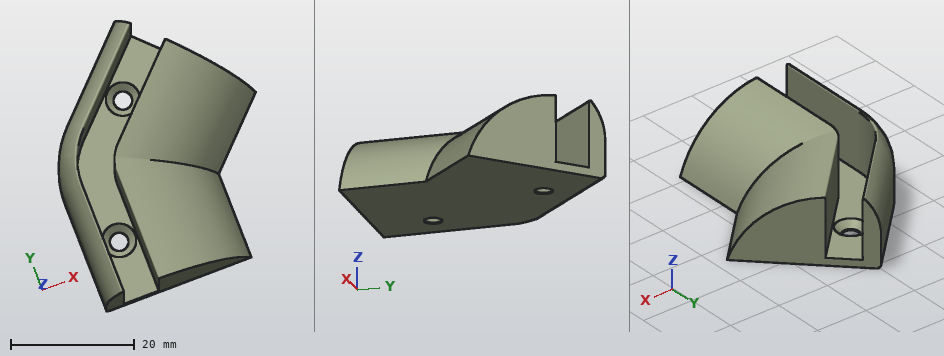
import cadquery as cq
import math

width = 25.0
inner_leg_length = 14.65
half_bend = 22.5
outer_bend_radius = 15.0

outer_wall = 3.0
slot_width = 6.0
floor_thickness = 1.5
shoulder_height = 6.55
shoulder_radius = 9.0
crown_x = 7.5
crown_height = 12.9
base_chamfer = 0.5
lip_radius = 0.25

hole_diameter = 3.0
countersink_diameter = 5.5
countersink_angle = 90
hole_from_end = 10.0

slot_middle = outer_wall + slot_width / 2
outer_leg_length = inner_leg_length + width * math.tan(math.radians(half_bend))
bend_start = outer_leg_length - outer_bend_radius * math.tan(math.radians(half_bend))
clear_height = 2 * crown_height


def shoulder_z(x):
    """Height of the convex outer shoulder at x."""
    return shoulder_height + math.sqrt(shoulder_radius**2 - (shoulder_radius - x) ** 2)


def crown_z(x):
    """Height of the large curve, an arc level at the crown and ending at the base edge."""
    reach = width - crown_x
    radius = (reach**2 + crown_height**2) / (2 * crown_height)
    return crown_height - radius + math.sqrt(radius**2 - (x - crown_x) ** 2)


def section(y=0):
    return cq.Workplane("XZ", origin=(0, y, 0))


def follow_bend(draw_profile):
    """Carry a profile along the straight leg and round the bend to the mitre."""
    straight = draw_profile(section()).extrude(-bend_start)
    bend = draw_profile(section(bend_start)).revolve(
        half_bend, (outer_bend_radius, 0), (outer_bend_radius, -1)
    )
    return straight.union(bend)


def outer_profile(plane):
    return (
        plane.moveTo(0, 0)
        .lineTo(0, shoulder_height)
        .threePointArc(
            (outer_wall / 3, shoulder_z(outer_wall / 3)),
            (outer_wall, shoulder_z(outer_wall)),
        )
        .lineTo(outer_wall, floor_thickness)
        .lineTo(slot_middle, floor_thickness)
        .lineTo(slot_middle, 0)
        .close()
    )


def slot_profile(plane):
    return plane.moveTo(outer_wall, floor_thickness).rect(
        slot_width, clear_height, centered=False
    )


def inner_block():
    """The broad curved side, cut off at the mitre."""
    arc_middle = (slot_middle + width) / 2
    block = (
        section()
        .moveTo(slot_middle, 0)
        .lineTo(slot_middle, crown_z(slot_middle))
        .threePointArc((arc_middle, crown_z(arc_middle)), (width, 0))
        .close()
        .extrude(-outer_leg_length)
    )
    mitred_plan = (
        cq.Workplane("XY")
        .polyline([(0, 0), (width, 0), (width, inner_leg_length), (0, outer_leg_length)])
        .close()
        .extrude(clear_height)
    )
    return block.intersect(mitred_plan)


def chamfer_cutter():
    """Straight bevel that runs on past the bend, so it fades out on the rounded corner."""
    return (
        section()
        .polyline([(0, 0), (base_chamfer, 0), (0, base_chamfer)])
        .close()
        .extrude(-outer_leg_length)
    )


def round_slot_lips(body):
    """Round the top edges of both slot walls, on the straight and in the bend."""
    top_band = cq.selectors.BoxSelector(
        (0, 0, crown_height - lip_radius), (width, outer_leg_length, clear_height)
    )
    return body.edges(top_band).fillet(lip_radius)


def screw_hole(body):
    return (
        body.copyWorkplane(cq.Workplane("XY", origin=(0, 0, floor_thickness)))
        .center(slot_middle, hole_from_end)
        .cskHole(hole_diameter, countersink_diameter, countersink_angle, depth=clear_height)
    )


half = follow_bend(outer_profile).union(inner_block())
half = half.cut(follow_bend(slot_profile)).cut(chamfer_cutter())
half = screw_hole(round_slot_lips(half))

mitre_normal = (math.sin(math.radians(half_bend)), math.cos(math.radians(half_bend)), 0)
other_half = half.mirror(mitre_normal, (0, outer_leg_length, 0))
result = half.union(other_half, clean=True)